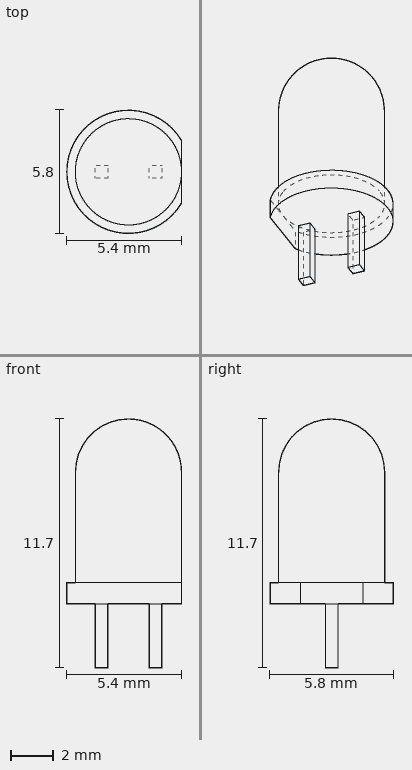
import cadquery as cq

lens_diameter = 5.0
lens_radius = lens_diameter / 2
flange_diameter = 5.8
flange_radius = flange_diameter / 2
flange_height = 1.0
cylinder_height = 5.2
lead_width = 0.6
lead_length = 3.0
lead_pitch = 2.54

dome_base_z = flange_height + cylinder_height
dome_top_z = dome_base_z + lens_radius


def make_flange():
    """Round flange with a flat on +X, tangent to the lens cylinder."""
    disc = cq.Workplane("XY").circle(flange_radius).extrude(flange_height)
    kept_length = flange_radius + lens_radius
    kept_side = cq.Workplane("XY").box(
        kept_length, flange_diameter, flange_height, centered=(False, True, False)
    ).translate((-flange_radius, 0, 0))
    return disc.intersect(kept_side)


def make_lens():
    """Cylinder closed by a hemispherical dome."""
    cylinder = (
        cq.Workplane("XY")
        .workplane(offset=flange_height)
        .circle(lens_radius)
        .extrude(cylinder_height)
    )
    dome = (
        cq.Workplane("XZ")
        .moveTo(0, dome_base_z)
        .lineTo(lens_radius, dome_base_z)
        .radiusArc((0, dome_top_z), -lens_radius)
        .close()
        .revolve(360, (0, 0, 0), (0, 1, 0))
    )
    return cylinder.union(dome)


def make_leads():
    """Two square leads hanging below the flange, spaced along X."""
    return (
        cq.Workplane("XY")
        .pushPoints([(-lead_pitch / 2, 0), (lead_pitch / 2, 0)])
        .rect(lead_width, lead_width)
        .extrude(-lead_length)
    )


result = make_flange().union(make_lens()).union(make_leads())